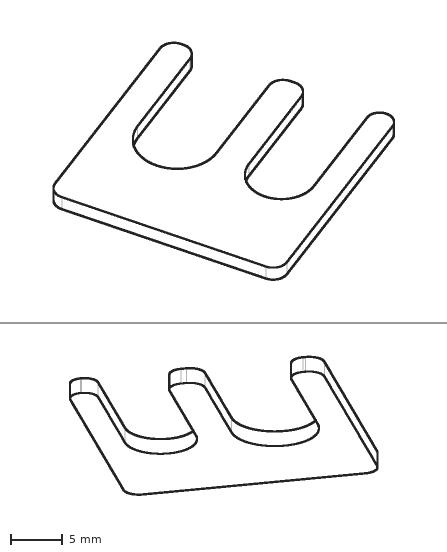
import cadquery as cq

side = 25.4
thickness = 1.57
corner_radius = 1.52

left_tine = 3.3
wide_slot = 8.64
middle_tine = 3.55
narrow_slot = 7.1
right_tine = side - left_tine - wide_slot - middle_tine - narrow_slot

slot_center_y = 0.5 * side
right_tip_radius = 1.37
edge_tolerance = 0.003


def open_slot(left, width):
    """Cutter for a slot open at the +Y edge with a full-round inner end."""
    right = left + width
    return (
        cq.Workplane("XY")
        .moveTo(left, side)
        .lineTo(left, slot_center_y)
        .threePointArc((left + width / 2, slot_center_y - width / 2), (right, slot_center_y))
        .lineTo(right, side)
        .close()
        .extrude(thickness)
    )


def vertical_edges_within(x_min, x_max, y_min, y_max):
    """Selector for the upright edges inside a rectangle of the plate."""
    gap = edge_tolerance
    return cq.selectors.BoxSelector(
        (x_min - gap, y_min - gap, -gap),
        (x_max + gap, y_max + gap, thickness + gap),
    )


plate = cq.Workplane("XY").box(side, side, thickness, centered=False)

wide_slot_left = left_tine
narrow_slot_left = left_tine + wide_slot + middle_tine
plate = plate.cut(open_slot(wide_slot_left, wide_slot))
plate = plate.cut(open_slot(narrow_slot_left, narrow_slot))

right_tine_left = side - right_tine
base_corners = vertical_edges_within(0, side, 0, 0)
wide_tine_tips = vertical_edges_within(0, narrow_slot_left, side, side)
right_tine_tip = vertical_edges_within(right_tine_left, side, side, side)
plate = plate.edges("|Z").edges(base_corners).fillet(corner_radius)
plate = plate.edges("|Z").edges(wide_tine_tips).fillet(corner_radius)
plate = plate.edges("|Z").edges(right_tine_tip).fillet(right_tip_radius)

result = plate